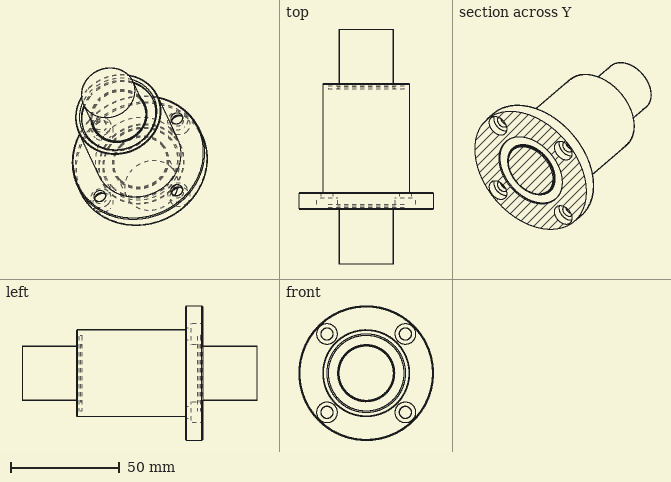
import cadquery as cq


shaft_diameter = 25.0
shaft_length = 108.0

sleeve_diameter = 40.0
sleeve_length = 58.0
sleeve_chamfer = 0.3

flange_diameter = 62.0
flange_thickness = 8.0
flange_chamfer = 0.5

hole_count = 4
bolt_circle_diameter = 51.0
first_hole_angle = 45.0
hole_diameter = 5.5
counterbore_diameter = 9.5
counterbore_depth = 5.4

recess_mouth_diameter = 36.2
seal_diameter = 34.8
recess_taper_depth = 1.0
recess_depth = 2.35
lip_diameter = 26.3
lip_bore = 25.6
lip_height = 0.7

seam_depth = sleeve_chamfer

sleeve_front = -sleeve_length / 2


def cylinder(diameter, start, length):
    """Cylinder along +Y from y = start."""
    plane = cq.Workplane("XZ", origin=(0, start, 0))
    return plane.circle(diameter / 2).extrude(-length)


def ring(section):
    """Revolve a section of (radius, y) points about the Y axis."""
    return cq.Workplane("XY").polyline(section).close().revolve(360, (0, 0, 0), (0, 1, 0))


def make_sleeve():
    sleeve = cylinder(sleeve_diameter, sleeve_front, sleeve_length)
    return sleeve.faces(">Y").chamfer(sleeve_chamfer)


def make_flange():
    flange = cylinder(flange_diameter, sleeve_front, flange_thickness)
    return flange.edges().chamfer(flange_chamfer)


def make_seam():
    """V-groove left by the chamfered sleeve edge inside the flange."""
    radius = sleeve_diameter / 2
    return ring([
        (radius - seam_depth, sleeve_front),
        (radius, sleeve_front),
        (radius, sleeve_front + seam_depth),
    ])


def make_seal_recess():
    """Front recess: tapered mouth, straight wall and a thin raised lip just clear of the shaft."""
    taper_end = sleeve_front + recess_taper_depth
    seal_face = sleeve_front + recess_depth
    lip_face = seal_face - lip_height
    return ring([
        (0, sleeve_front),
        (recess_mouth_diameter / 2, sleeve_front),
        (seal_diameter / 2, taper_end),
        (seal_diameter / 2, seal_face),
        (lip_diameter / 2, seal_face),
        (lip_diameter / 2, lip_face),
        (lip_bore / 2, lip_face),
        (lip_bore / 2, seal_face),
        (0, seal_face),
    ])


def hole_pattern(diameter, depth):
    """Cylinders on the bolt circle, running from the front face to the given depth."""
    plane = cq.Workplane("XZ", origin=(0, sleeve_front, 0))
    centres = plane.polarArray(bolt_circle_diameter / 2, first_hole_angle, 360, hole_count)
    return centres.circle(diameter / 2).extrude(-depth)


def make_mounting_holes():
    through_holes = hole_pattern(hole_diameter, flange_thickness)
    counterbores = hole_pattern(counterbore_diameter, counterbore_depth)
    return through_holes.union(counterbores)


front_recess = make_seal_recess()
back_recess = front_recess.mirror("XZ")

bushing = make_sleeve().union(make_flange())
bushing = bushing.cut(make_mounting_holes()).cut(make_seam())
bushing = bushing.cut(front_recess).cut(back_recess)

shaft = cylinder(shaft_diameter, -shaft_length / 2, shaft_length)
result = bushing.union(shaft)